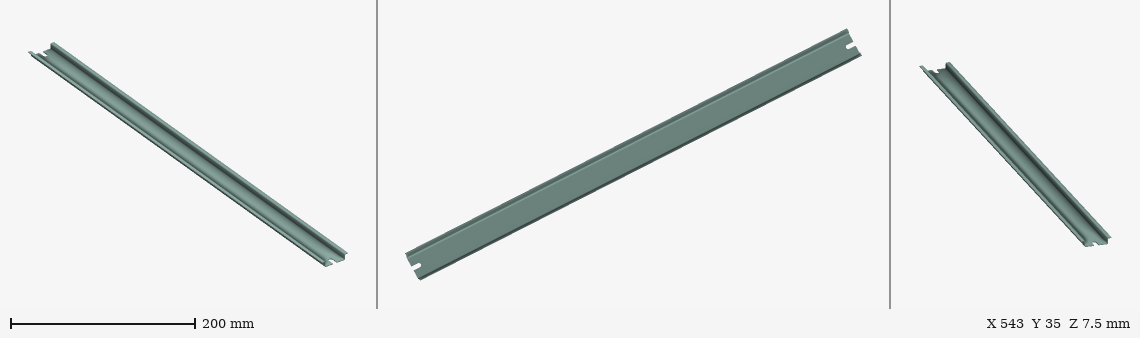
import cadquery as cq

length = 543.0
overall_width = 35.0
height = 7.5
thickness = 1.0
channel_width = 27.0
inner_bend = 0.75
outer_bend = inner_bend + thickness

slot_width = 5.2
slot_depth = 10.5

half_width = overall_width / 2
half_channel = channel_width / 2
half_inner = half_channel - thickness


def round_corner(rail, y, z, radius):
    """Fillet the full-length edge that passes through (y, z)."""
    corner = cq.selectors.NearestToPointSelector((0, y, z))
    return rail.edges(corner).fillet(radius)


def make_rail():
    """Extrude the hat section, then round its four bends inside and out."""
    section = [
        (-half_channel, 0),
        (half_channel, 0),
        (half_channel, height - thickness),
        (half_width, height - thickness),
        (half_width, height),
        (half_inner, height),
        (half_inner, thickness),
        (-half_inner, thickness),
        (-half_inner, height),
        (-half_width, height),
        (-half_width, height - thickness),
        (-half_channel, height - thickness),
    ]
    rail = cq.Workplane("YZ").polyline(section).close().extrude(length / 2, both=True)

    for side in (-1, 1):
        web_outer = side * half_channel
        web_inner = side * half_inner
        rail = round_corner(rail, web_inner, thickness, inner_bend)
        rail = round_corner(rail, web_outer, 0, outer_bend)
        rail = round_corner(rail, web_outer, height - thickness, inner_bend)
        rail = round_corner(rail, web_inner, height, outer_bend)
    return rail


def end_slot(end):
    """Cutter for a round-bottomed slot open at the given end (-1 or 1)."""
    return (
        cq.Workplane("XY")
        .center(end * length / 2, 0)
        .slot2D(2 * slot_depth, slot_width)
        .extrude(height)
    )


result = make_rail()
for end in (-1, 1):
    result = result.cut(end_slot(end))